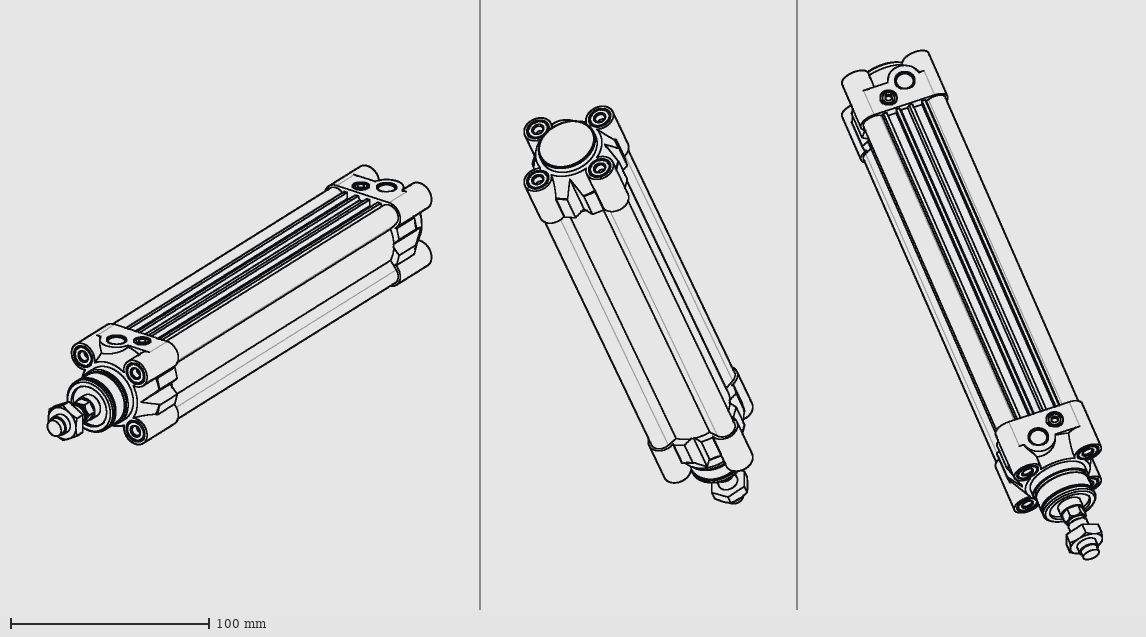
import cadquery as cq
import math

total_length = 296.0
rear_spigot_length = 3.8
cap_length = 27.0
barrel_length = 191.0
front_spigot_length = 17.5

rear_cap_face = -rear_spigot_length
barrel_rear = rear_cap_face - cap_length
barrel_front = barrel_rear - barrel_length
front_cap_face = barrel_front - cap_length
front_spigot_end = front_cap_face - front_spigot_length
rod_tip = -total_length

cap_width = 47.0
screw_offset = 16.3
corner_radius = cap_width / 2 - screw_offset
pad_face = 22.8
pad_root = 10.5
pad_root_height = 21.3
groove_half_width = 4.5
groove_bottom = 18.5

cone_length = 11.8
cone_face_radius = 17.5
cone_end_radius = 22.8

panel_half_width = 16.3
panel_length = cap_length - cone_length
port_offset = 5.3
port_from_barrel = 13.3
port_boss_radius = 8.5
port_diameter = 8.5
port_mouth_diameter = 10.0
port_mouth_depth = 1.0
port_depth = cap_width / 2
needle_offset = 6.0
needle_from_barrel = 6.8
needle_recess_diameter = 8.5
needle_head_diameter = 6.2
needle_recess_depth = 1.0
needle_socket_diameter = 3.5
needle_socket_depth = 1.8

screw_recess_diameter = 11.5
screw_head_diameter = 10.0
screw_gap_depth = 1.5
screw_socket_diameter = 5.0
screw_socket_mouth = 6.2
screw_socket_depth = 4.5
screw_point_depth = 1.5

spigot_diameter = 30.0
rear_spigot_chamfer = 0.5
spigot_collar_length = 4.5
nose_diameter = 28.5
nose_groove_diameter = 27.8
nose_groove_length = 1.8
nose_chamfer = 1.0
rim_groove_diameter = 27.8
rim_groove_width = 1.0
rim_length = 2.7
seal_recess_diameter = 22.0
seal_recess_depth = 1.5

tube_diameter = 39.0
barrel_width = 44.5
barrel_roll_radius = 5.5
flank_angle = 40.0
slot_inner = 4.5
slot_outer = 9.5
slot_lip = 1.8
rail_spread = 1.0
rail_base = 19.5
slot_floor = 18.0
slot_top = 21.5

rod_diameter = 12.0
hexagon_width = 10.0
hexagon_chamfer_diameter = 10.0
thread_diameter = 10.0
neck_diameter = 8.5
tip_diameter = 8.5
rod_shoulder = 269.5
hexagon_chamfer_start = 273.2
hexagon_end = 274.7
neck_end = 276.8
nut_rear = 283.3
nut_front = 289.2
thread_end = 292.7
nut_width = 17.2
nut_chamfer = 1.0


def rod_along_y(diameter, y_rear, y_front, x=0.0, z=0.0):
    """Cylinder parallel to Y from y_rear forward to y_front."""
    plane = cq.Workplane("XZ", origin=(x, y_rear, z))
    return plane.circle(diameter / 2).extrude(y_rear - y_front)


def hexagon_along_y(width, y_rear, y_front, turn):
    """Hexagonal prism along Y; turn = 0 puts corners on the X axis, turn = 90 on the Z axis."""
    plane = cq.Workplane("XZ", origin=(0, y_rear, 0)).transformed(rotate=(0, 0, turn))
    return plane.polygon(6, width / math.cos(math.pi / 6)).extrude(y_rear - y_front)


def frustum_along_y(start_diameter, end_diameter, y_start, y_end, x=0.0, z=0.0):
    """Cone frustum parallel to Y between two diameters; a zero end diameter makes a full cone."""
    height = abs(y_end - y_start)
    direction = cq.Vector(0, math.copysign(1, y_end - y_start), 0)
    base = cq.Vector(x, y_start, z)
    return cq.Workplane(cq.Solid.makeCone(start_diameter / 2, end_diameter / 2, height, base, direction))


def corner_points():
    return [(sx * screw_offset, sz * screw_offset) for sx in (-1, 1) for sz in (-1, 1)]


def cap_pad():
    """Side wall on the +X side of a cap, with its V groove."""
    half = [
        (0, pad_root),
        (pad_root_height, pad_root),
        (pad_face, groove_half_width),
    ]
    mirrored = [(x, -z) for x, z in reversed(half)]
    points = half + [(groove_bottom, 0)] + mirrored
    return cq.Workplane("XZ").polyline(points).close().extrude(cap_length)


def cap_body():
    """Front cap without details: barrel side at y = 0, outer face at y = -cap_length."""
    core = cq.Workplane("XZ").rect(2 * screw_offset, 2 * screw_offset).extrude(cap_length)
    for angle in (0, 90, 180):
        core = core.union(cap_pad().rotate((0, 0, 0), (0, 1, 0), angle))
    top = cq.Workplane("XZ").rect(2 * panel_half_width, cap_width / 2, centered=(True, False))
    core = core.union(top.extrude(cap_length))

    envelope = (
        cq.Workplane("XY")
        .moveTo(0, 0)
        .lineTo(cap_width, 0)
        .lineTo(cap_width, -panel_length)
        .lineTo(cone_end_radius, -panel_length)
        .lineTo(cone_face_radius, -cap_length)
        .lineTo(0, -cap_length)
        .close()
        .revolve(360, (0, 0, 0), (0, 1, 0))
    )
    body = core.intersect(envelope)
    corners = cq.Workplane("XZ").pushPoints(corner_points()).circle(corner_radius).extrude(cap_length)
    return body.union(corners)


def add_port(cap):
    """Air port that runs down to the rod axis, with a round boss around it."""
    top = cap_width / 2
    boss = (
        cq.Workplane("XY")
        .center(-port_offset, -port_from_barrel)
        .circle(port_boss_radius)
        .extrude(top)
    )
    plane = cq.Workplane("XY", origin=(-port_offset, -port_from_barrel, top))
    hole = plane.circle(port_diameter / 2).extrude(-port_depth)
    mouth = plane.circle(port_mouth_diameter / 2).extrude(-port_mouth_depth)
    return cap.union(boss).cut(hole).cut(mouth)


def cut_needle(cap):
    """Ring gap and socket of the needle screw beside the port."""
    plane = cq.Workplane("XY", origin=(needle_offset, -needle_from_barrel, cap_width / 2))
    head = plane.circle(needle_head_diameter / 2).extrude(-needle_recess_depth)
    recess = plane.circle(needle_recess_diameter / 2).extrude(-needle_recess_depth).cut(head)
    socket = plane.circle(needle_socket_diameter / 2).extrude(-needle_socket_depth)
    return cap.cut(recess).cut(socket)


def cut_screws(cap):
    """Sunk screw heads in the corners, each with a countersunk socket."""
    face = -cap_length
    socket_floor = face + screw_socket_depth
    mouth_depth = (screw_socket_mouth - screw_socket_diameter) / 2
    for x, z in corner_points():
        head = rod_along_y(screw_head_diameter, face + screw_gap_depth, face, x, z)
        gap = rod_along_y(screw_recess_diameter, face + screw_gap_depth, face, x, z).cut(head)
        socket = rod_along_y(screw_socket_diameter, socket_floor, face, x, z)
        mouth = frustum_along_y(screw_socket_mouth, screw_socket_diameter, face, face + mouth_depth, x, z)
        point_end = socket_floor + screw_point_depth
        point = frustum_along_y(screw_socket_diameter, 0, socket_floor, point_end, x, z)
        cap = cap.cut(gap).cut(socket).cut(mouth).cut(point)
    return cap


def plain_cap():
    """Cap common to both ends, posed as the front cap with its barrel side at y = 0."""
    return cut_screws(cut_needle(add_port(cap_body())))


def make_front_cap():
    """Front cap with the stepped rod-guide spigot, its rim groove and the rod bore."""
    cap = plain_cap().translate((0, barrel_front, 0))
    collar_end = front_cap_face - spigot_collar_length
    groove_end = collar_end - nose_groove_length
    collar = rod_along_y(spigot_diameter, front_cap_face, collar_end)
    groove = rod_along_y(nose_groove_diameter, collar_end, groove_end)
    nose = rod_along_y(nose_diameter, groove_end, front_spigot_end).faces("<Y").chamfer(nose_chamfer)
    rim_rear = front_spigot_end + rim_length
    rim_groove_rear = rim_rear + rim_groove_width
    groove_core = rod_along_y(rim_groove_diameter, rim_groove_rear, rim_rear)
    nose = nose.cut(rod_along_y(nose_diameter, rim_groove_rear, rim_rear).cut(groove_core))
    recess = rod_along_y(seal_recess_diameter, front_spigot_end + seal_recess_depth, front_spigot_end)
    bore = rod_along_y(rod_diameter, barrel_front, front_spigot_end)
    return cap.union(collar).union(groove).union(nose).cut(recess).cut(bore)


def make_rear_cap():
    """Rear cap: the common cap turned half round Z, with a short spigot."""
    cap = plain_cap().rotate((0, 0, 0), (0, 0, 1), 180).translate((0, barrel_rear, 0))
    return cap.union(rod_along_y(spigot_diameter, 0, rear_cap_face).faces(">Y").chamfer(rear_spigot_chamfer))


def barrel_corner():
    """Rounded corner at +X +Z whose sloping flanks run down to the round tube."""
    flank = math.radians(flank_angle)
    roll_center = barrel_width / 2 - barrel_roll_radius
    outer = roll_center + barrel_roll_radius * math.cos(flank)
    inner = roll_center - barrel_roll_radius * math.sin(flank)
    along = outer * math.sin(flank) + inner * math.cos(flank)
    offset = outer * math.cos(flank) - inner * math.sin(flank)
    flank_length = along - math.sqrt((tube_diameter / 2) ** 2 - offset**2)
    root = outer - flank_length * math.sin(flank)
    flank_end = inner - flank_length * math.cos(flank)
    crest = roll_center + barrel_roll_radius * math.cos(math.pi / 4)
    return (
        cq.Workplane("XZ", origin=(0, barrel_rear, 0))
        .moveTo(0, 0)
        .lineTo(root, flank_end)
        .lineTo(outer, inner)
        .threePointArc((crest, crest), (inner, outer))
        .lineTo(flank_end, root)
        .close()
        .extrude(barrel_length)
    )


def sensor_slot(side):
    """Rail on top of the barrel and the channel to cut in it, at +X (side = 1) or -X (side = -1)."""
    center = side * (slot_inner + slot_outer) / 2
    width = slot_outer - slot_inner
    plane = cq.Workplane("XZ", origin=(center, barrel_rear, 0))
    top_half = width / 2 + slot_lip
    base_half = top_half + rail_spread
    rail = (
        plane.moveTo(-base_half, 0)
        .lineTo(-base_half, rail_base)
        .lineTo(-top_half, slot_top)
        .lineTo(top_half, slot_top)
        .lineTo(base_half, rail_base)
        .lineTo(base_half, 0)
        .close()
        .extrude(barrel_length)
    )
    channel = (
        plane.center(0, slot_floor)
        .rect(width, cap_width / 2, centered=(True, False))
        .extrude(barrel_length)
    )
    return rail, channel


def make_barrel():
    """Round tube with four rounded corners and two sensor slots on top."""
    barrel = rod_along_y(tube_diameter, barrel_rear, barrel_front)
    for angle in (0, 90, 180, 270):
        barrel = barrel.union(barrel_corner().rotate((0, 0, 0), (0, 1, 0), angle))
    for side in (-1, 1):
        rail, channel = sensor_slot(side)
        barrel = barrel.union(rail).cut(channel)
    return barrel


def make_rod():
    """Rod with a wrench hexagon, a neck, a thread and a reduced tip."""
    rod = rod_along_y(rod_diameter, barrel_front, -rod_shoulder)
    envelope = rod_along_y(rod_diameter, -rod_shoulder, -hexagon_chamfer_start).union(
        frustum_along_y(rod_diameter, hexagon_chamfer_diameter, -hexagon_chamfer_start, -hexagon_end)
    )
    rod = rod.union(hexagon_along_y(hexagon_width, -rod_shoulder, -hexagon_end, 0).intersect(envelope))
    rod = rod.union(rod_along_y(neck_diameter, -hexagon_end, -neck_end))
    rod = rod.union(rod_along_y(thread_diameter, -neck_end, -thread_end))
    return rod.union(rod_along_y(tip_diameter, -thread_end, rod_tip))


def make_nut():
    """Hexagon nut on the rod thread, with its front corners chamfered."""
    nut = hexagon_along_y(nut_width, -nut_rear, -nut_front, 90)
    corner_diameter = nut_width / math.cos(math.pi / 6)
    chamfer_start = nut_front - nut_chamfer
    envelope = rod_along_y(corner_diameter, -nut_rear, -chamfer_start).union(
        frustum_along_y(corner_diameter, nut_width, -chamfer_start, -nut_front)
    )
    nut = nut.intersect(envelope)
    return nut.cut(rod_along_y(thread_diameter, -nut_rear, -nut_front))


result = cq.Compound.makeCompound(
    [
        make_barrel().val(),
        make_front_cap().val(),
        make_rear_cap().val(),
        make_rod().val(),
        make_nut().val(),
    ]
)